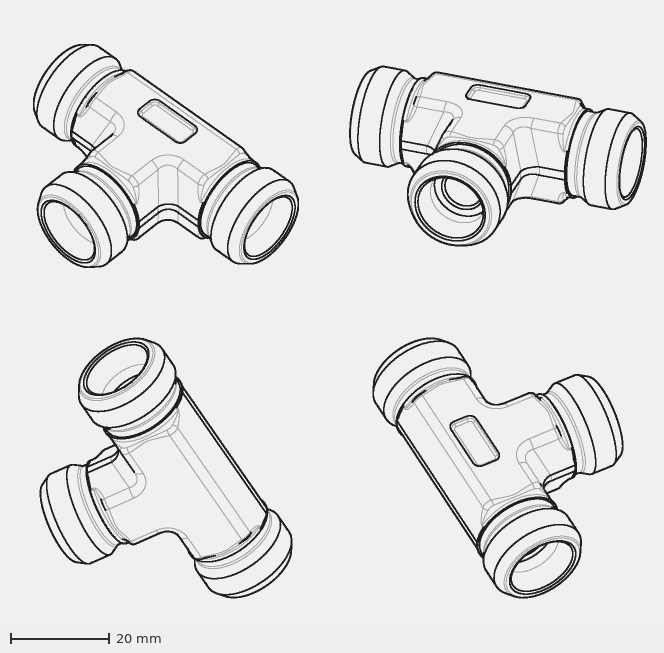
import cadquery as cq
import math

arm_length = 29.0
arm_angles = (0, 90, 180)

body_end = 17.7
body_half_height = 9.5
body_half_width = 9.2
side_half_height = 1.0
draft_angle = 20.0
inner_corner_radius = 3.0
top_edge_radius = 2.05

collar_radius = body_half_width
collar_end = 18.0
collar_wall = 16.1
collar_blend_radius = 1.0
trim_start_height = 3.1
trim_outer_radius = 17.4
shoulder_radius = 1.0

thread_radius = 20.0 / 2
neck_radius = 17.6 / 2
thread_start = 2.25
thread_end = 6.95
cone_angle = 30.0
rim_radius = 0.4
neck_blend_radius = 1.0

bore_radius = 4.0
bore_entry_radius = 4.5
socket_radius = 6.1
socket_depth = 7.55
seat_radius = 7.1
seat_angle = 12.0
mouth_radius = 7.6
mouth_angle = 60.0

recess_length = 12.8
recess_width = 5.85
recess_depth = 0.7
recess_corner_radius = 1.5
recess_floor_radius = 0.7
recess_taper = 35.0
recess_x = -0.2
recess_y = 0.65

tolerance = 0.005


def tan(degrees):
    return math.tan(math.radians(degrees))


def on_all_arms(shape):
    """Copies of a shape built for the -X arm, joined on all three arms."""
    copies = [shape.rotate((0, 0, 0), (0, 0, 1), angle) for angle in arm_angles]
    return copies[0].union(copies[1]).union(copies[2]).clean()


def is_inner_corner(edge):
    """True for the edges where an arm meets its neighbour at the crotch."""
    center = edge.Center()
    return abs(center.x) > tolerance and abs(abs(center.x) + center.y) < tolerance


def is_long_top_edge(edge):
    """True for the edges of the top face that do not lie in an arm's end face."""
    center = edge.Center()
    on_top = abs(center.z - body_half_height) < tolerance
    on_end = max(abs(center.x), -center.y) > body_end - tolerance
    return on_top and not on_end


def make_body():
    """Forged tee: drafted sides above and below a narrow upright flat."""
    ridge_half_width = body_half_width + side_half_height * tan(draft_angle)
    top_half_width = ridge_half_width - body_half_height * tan(draft_angle)
    upper_bar = (
        cq.Workplane("YZ")
        .moveTo(ridge_half_width, 0)
        .lineTo(top_half_width, body_half_height)
        .lineTo(-top_half_width, body_half_height)
        .lineTo(-ridge_half_width, 0)
        .close()
        .extrude(-body_end)
    )
    upper = on_all_arms(upper_bar)
    upper = upper.edges().filter(is_inner_corner).fillet(inner_corner_radius)
    upper = upper.edges().filter(is_long_top_edge).fillet(top_edge_radius)

    outline_bar = cq.Workplane("YZ").rect(2 * body_half_width, 2 * body_half_height).extrude(-body_end)
    outline = on_all_arms(outline_bar)
    outline = outline.edges("|Z").filter(is_inner_corner).fillet(inner_corner_radius)
    return upper.union(upper.mirror("XY")).intersect(outline)


def make_corner_trim():
    """Ring that cuts the body corners of the -X arm down to the round collar."""
    blend_start = collar_wall + collar_blend_radius
    ring = (
        cq.Workplane("XY")
        .moveTo(-body_end, collar_radius)
        .lineTo(-blend_start, collar_radius)
        .radiusArc((-collar_wall, collar_radius + collar_blend_radius), -collar_blend_radius)
        .lineTo(-collar_wall, trim_outer_radius)
        .lineTo(-body_end, trim_outer_radius)
        .close()
        .revolve(360, (0, 0, 0), (1, 0, 0))
    )
    middle = cq.Workplane("XY").box(2 * arm_length, 2 * arm_length, 2 * trim_start_height)
    return ring.cut(middle)


def is_shoulder_edge(edge):
    """True for the outer edges of the trimmed shoulders on the body."""
    box = edge.BoundingBox()
    center = edge.Center()
    distances = ((-box.xmax, -box.xmin), (box.xmin, box.xmax), (-box.ymax, -box.ymin))
    wall_side = collar_wall - tolerance
    blend_side = collar_wall + collar_blend_radius - tolerance
    in_blend = any(wall_side < near and far < blend_side for near, far in distances)
    return in_blend and abs(center.z) > trim_start_height


def make_connector():
    """Outside of the threaded connector and the round end of the collar on the -X arm."""
    cone_base = thread_radius - thread_start * tan(cone_angle)
    cone_back_end = thread_end + (thread_radius - neck_radius) / tan(cone_angle)
    profile = (
        cq.Workplane("XY")
        .moveTo(-arm_length, 0)
        .lineTo(-arm_length, cone_base)
        .lineTo(thread_start - arm_length, thread_radius)
        .lineTo(thread_end - arm_length, thread_radius)
        .lineTo(cone_back_end - arm_length, neck_radius)
        .lineTo(-collar_end, neck_radius)
        .lineTo(-collar_end, collar_radius)
        .lineTo(-body_end, collar_radius)
        .lineTo(-body_end, 0)
        .close()
    )
    connector = profile.revolve(360, (0, 0, 0), (1, 0, 0))
    connector = connector.faces("<X").edges().fillet(rim_radius)
    neck_edge = cq.selectors.NearestToPointSelector((cone_back_end - arm_length, 0, 0))
    return connector.edges(neck_edge).fillet(neck_blend_radius)


def make_bore():
    """Stepped bore of the -X arm: mouth, sealing cone, tube socket and through bore."""
    seat_start = (mouth_radius - seat_radius) / tan(mouth_angle)
    seat_end = seat_start + (seat_radius - socket_radius) / tan(seat_angle)
    entry_end = socket_depth + bore_entry_radius - bore_radius
    profile = (
        cq.Workplane("XY")
        .moveTo(-arm_length, 0)
        .lineTo(-arm_length, mouth_radius)
        .lineTo(seat_start - arm_length, seat_radius)
        .lineTo(seat_end - arm_length, socket_radius)
        .lineTo(socket_depth - arm_length, socket_radius)
        .lineTo(socket_depth - arm_length, bore_entry_radius)
        .lineTo(entry_end - arm_length, bore_radius)
        .lineTo(0, bore_radius)
        .lineTo(0, 0)
        .close()
    )
    return profile.revolve(360, (0, 0, 0), (1, 0, 0))


def make_recess():
    """Shallow rounded pocket with sloping walls, sunk into the top face."""
    outline = cq.Sketch().rect(recess_length, recess_width).vertices().fillet(recess_corner_radius)
    pocket = (
        cq.Workplane("XY", origin=(recess_x, recess_y, body_half_height))
        .placeSketch(outline)
        .extrude(-recess_depth, taper=recess_taper)
    )
    return pocket.faces("<Z").edges().fillet(recess_floor_radius)


body = make_body().cut(on_all_arms(make_corner_trim()))
body = body.edges().filter(is_shoulder_edge).fillet(shoulder_radius)
fitting = body.union(on_all_arms(make_connector())).cut(on_all_arms(make_bore()))
result = fitting.cut(make_recess())